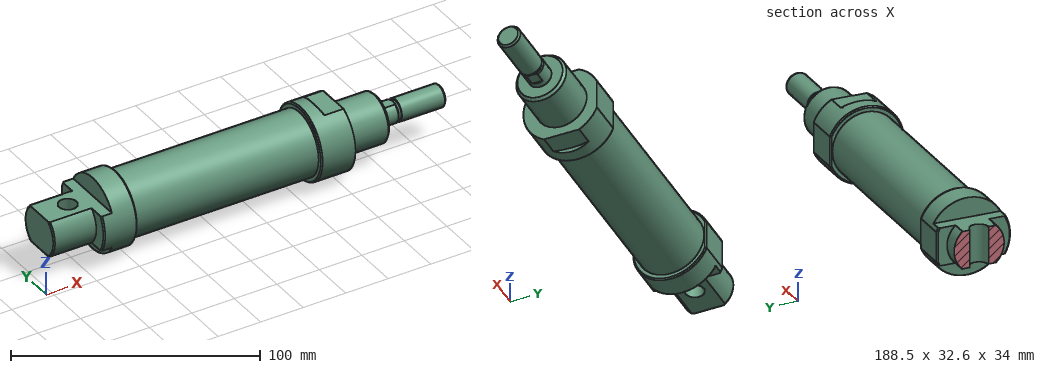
import cadquery as cq


lug_end = 20.0
step_end = 25.0
rear_cap_end = 35.8
front_cap_start = 122.3
front_cap_end = 138.4
nose_end = 158.5
relief_start = 166.5
relief_end = 167.5
rod_end = 188.5

cap_radius = 17.0
cap_flat_y = 15.6
cap_chamfer = 0.5

lug_radius = 11.1
lug_half_thickness = 8.3
lug_chamfer = 0.5
pivot_diameter = 8.1
pivot_x = 13.4

nose_radius = lug_radius
nose_chamfer = 1.1
cap_wrench_start = 128.5
cap_wrench_half_width = 15.0
cap_wrench_end_radius = 32.0

barrel_radius = 14.7

rod_radius = 5.0
rod_shoulder_chamfer = 0.5
rod_tip_chamfer = 0.8
relief_radius = 4.5
rod_wrench_start = 161.2
rod_wrench_half_width = 4.5


def cylinder(start, end, radius):
    """Solid cylinder on the X axis between two stations."""
    return cq.Workplane("YZ", origin=(start, 0, 0)).circle(radius).extrude(end - start)


def block(x_range, y_range, z_range):
    """Axis-aligned box given by its limits along X, Y and Z."""
    sizes = [high - low for low, high in (x_range, y_range, z_range)]
    corner = (x_range[0], y_range[0], z_range[0])
    return cq.Workplane("XY").box(*sizes, centered=False).translate(corner)


def slabs_outside(start, end, half_width, reach):
    """Cutters above and below that leave flats at +/- half_width in Z."""
    upper = block((start, end), (-reach, reach), (half_width, 2 * reach))
    return upper.union(upper.mirror("XY"))


def cap_side_flat(start, end):
    """Cutter for the flat along the +Y side of a cap."""
    return block((start, end), (cap_flat_y, 2 * cap_radius), (-cap_radius, cap_radius))


def make_rear_cap():
    collar = cylinder(lug_end, rear_cap_end, cap_radius)
    collar = collar.cut(cap_side_flat(lug_end, rear_cap_end))
    collar = collar.faces("<X or >X").chamfer(cap_chamfer)
    lug = cylinder(0, lug_end, lug_radius).faces("<X").chamfer(lug_chamfer)
    cap = collar.union(lug)
    cap = cap.cut(slabs_outside(0, step_end, lug_half_thickness, cap_radius))
    pivot_hole = (
        cq.Workplane("XY")
        .center(pivot_x, 0)
        .circle(pivot_diameter / 2)
        .extrude(lug_half_thickness, both=True)
    )
    return cap.cut(pivot_hole)


def make_barrel():
    return cylinder(rear_cap_end, front_cap_start, barrel_radius)


def make_front_cap():
    collar = cylinder(front_cap_start, front_cap_end, cap_radius)
    collar = collar.cut(cap_side_flat(front_cap_start, front_cap_end))
    collar = collar.faces("<X").chamfer(cap_chamfer)
    arc_center = cap_wrench_start + cap_wrench_end_radius
    wrench_end = (
        cq.Workplane("XY").center(arc_center, 0).circle(cap_wrench_end_radius).extrude(cap_radius, both=True)
    )
    wrench_flats = slabs_outside(cap_wrench_start, front_cap_end, cap_wrench_half_width, cap_radius)
    wrench_flats = wrench_flats.intersect(wrench_end)
    nose = cylinder(front_cap_end, nose_end, nose_radius).faces(">X").chamfer(nose_chamfer)
    return collar.cut(wrench_flats).union(nose)


def make_rod():
    shank = cylinder(nose_end, relief_start, rod_radius).faces(">X").chamfer(rod_shoulder_chamfer)
    shank = shank.cut(slabs_outside(rod_wrench_start, relief_start, rod_wrench_half_width, rod_radius))
    relief = cylinder(relief_start, relief_end, relief_radius)
    tip = cylinder(relief_end, rod_end, rod_radius).faces(">X").chamfer(rod_tip_chamfer)
    return shank.union(relief).union(tip)


rear_cap = make_rear_cap()
barrel = make_barrel()
front_cap = make_front_cap()
rod = make_rod()

result = cq.Compound.makeCompound([rear_cap.val(), barrel.val(), front_cap.val(), rod.val()])